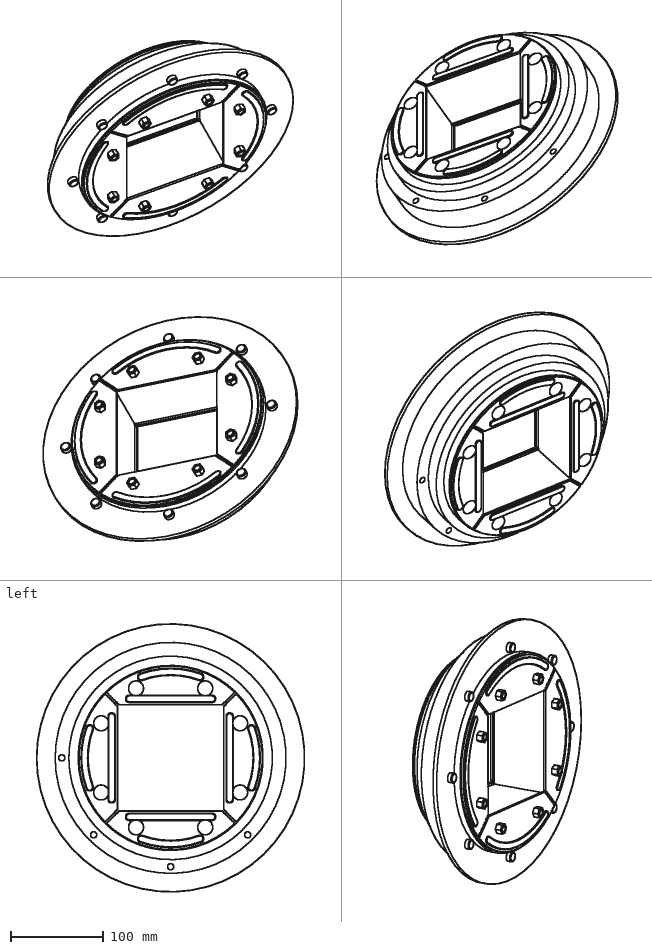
import cadquery as cq
import math


FLANGE_DIA = 290.0
SLEEVE_DIA = 249.7
SLEEVE_FRONT_X = 32.0
FLANGE_FRONT_X = 59.7
FLANGE_THICKNESS = 4.5
FLANGE_BACK_X = FLANGE_FRONT_X + FLANGE_THICKNESS

SCREW_COUNT = 8
SCREW_CIRCLE_RADIUS = 117.7
SCREW_HEAD_DIA = 10.7
SCREW_HEAD_HEIGHT = 5.2
SCREW_HEAD_CHAMFER = 1.0

SLEEVE_HOLE_DIA = 6.7
SLEEVE_HOLE_DEPTH = FLANGE_FRONT_X - SLEEVE_FRONT_X
SLEEVE_HOLE_ANGLES = (0, 225, 270, 315)

INSERT_DIA = 220.0
INSERT_NOSE_DIA = 200.0
INSERT_FRONT_X = 6.7
INSERT_STEP_X = 16.8
INSERT_BACK_X = 72.0
INSERT_OPENING = 120.0

PLATE_THICKNESS = 2.5
FRONT_PLATE_INSET = 1.0
BACK_PLATE_INSET = 2.0
PLATE_OPENING = 114.8
PLATE_GAP = 2.3
PLATE_FRONT_X = INSERT_FRONT_X - PLATE_THICKNESS
PLATE_BACK_X = INSERT_BACK_X + PLATE_THICKNESS
FRONT_PLATE_RADIUS = INSERT_NOSE_DIA / 2 - FRONT_PLATE_INSET
BACK_PLATE_RADIUS = INSERT_DIA / 2 - BACK_PLATE_INSET

BEAD_WIDTH = 7.8
BEAD_HEIGHT = 1.0
BEAD_CHAMFER = 0.72
STRAIGHT_BEAD_LENGTH = 97.5
STRAIGHT_BEAD_OFFSET = 63.8
FRONT_ARC_RADIUS = 93.0
FRONT_ARC_HALF_ANGLE = 20.0
BACK_ARC_RADIUS = 101.5
BACK_ARC_HALF_ANGLE = 35.0

BOLT_SIDE_OFFSET = 37.5
BOLT_RADIAL_OFFSET = 75.0
DOME_RADIUS = 8.0
DOME_HEIGHT = PLATE_FRONT_X
NUT_FLATS = 10.2
BOLT_DIA = 7.0
BOLT_END_X = 82.0
BOLT_TIP_LENGTH = 1.0
NUT_END_X = BOLT_END_X - BOLT_TIP_LENGTH

QUARTER_TURNS = (0, 90, 180, 270)


def at_x(x):
    """Workplane facing +X at the given X, with local axes along Y and Z."""
    return cq.Workplane("YZ", origin=(x, 0, 0))


def disc(radius, start_x, end_x):
    """Cylinder about the X axis between two X positions."""
    return at_x(start_x).circle(radius).extrude(end_x - start_x)


def spin(body, angle):
    """Turn a body about the X axis."""
    return body.rotate((0, 0, 0), (1, 0, 0), angle)


def arc_bead_outline(plane, radius, half_angle):
    """Curved slot outline, centred on +Z and concentric with the part."""
    half_width = BEAD_WIDTH / 2

    def point(r, degrees):
        angle = math.radians(degrees)
        return (r * math.sin(angle), r * math.cos(angle))

    cap_angle = half_angle + math.degrees(half_width / radius)
    outer = radius + half_width
    inner = radius - half_width
    return (
        plane.moveTo(*point(outer, -half_angle))
        .threePointArc(point(outer, 0), point(outer, half_angle))
        .threePointArc(point(radius, cap_angle), point(inner, half_angle))
        .threePointArc(point(inner, 0), point(inner, -half_angle))
        .threePointArc(point(radius, -cap_angle), point(outer, -half_angle))
        .close()
    )


def front_beads():
    """Straight and curved bead of the +Z front plate."""
    top_x = PLATE_FRONT_X - BEAD_HEIGHT
    straight = at_x(top_x).center(0, STRAIGHT_BEAD_OFFSET).slot2D(STRAIGHT_BEAD_LENGTH, BEAD_WIDTH)
    curved = arc_bead_outline(at_x(top_x), FRONT_ARC_RADIUS, FRONT_ARC_HALF_ANGLE)
    outlines = (straight, curved)
    return [outline.extrude(BEAD_HEIGHT).faces("<X").chamfer(BEAD_CHAMFER) for outline in outlines]


def back_bead():
    """Curved bead of the +Z back plate."""
    outline = arc_bead_outline(at_x(PLATE_BACK_X), BACK_ARC_RADIUS, BACK_ARC_HALF_ANGLE)
    return outline.extrude(BEAD_HEIGHT).faces(">X").chamfer(BEAD_CHAMFER)


def plate_ring(radius, start_x):
    """Disc with a square opening, split into four segments along the diagonals."""
    ring = disc(radius, start_x, start_x + PLATE_THICKNESS)
    ring = ring.cut(at_x(start_x).rect(PLATE_OPENING, PLATE_OPENING).extrude(PLATE_THICKNESS))
    gap = at_x(start_x).rect(2 * radius, PLATE_GAP).extrude(PLATE_THICKNESS)
    return ring.cut(spin(gap, 45)).cut(spin(gap, -45))


def dome_head(side):
    """Spherical cap head on the front of the +Z plate."""
    profile = (
        cq.Workplane("XY")
        .moveTo(PLATE_FRONT_X - DOME_HEIGHT, 0)
        .lineTo(PLATE_FRONT_X, 0)
        .lineTo(PLATE_FRONT_X, DOME_RADIUS)
    )
    sphere_radius = (DOME_RADIUS**2 + DOME_HEIGHT**2) / (2 * DOME_HEIGHT)
    profile = profile.radiusArc((PLATE_FRONT_X - DOME_HEIGHT, 0), -sphere_radius).close()
    head = profile.revolve(360, (0, 0, 0), (1, 0, 0))
    return head.translate((0, side * BOLT_SIDE_OFFSET, BOLT_RADIAL_OFFSET))


def nut(side):
    """Hex nut on the back of the +Z plate, corners pointing along Y, with the bolt tip standing out."""
    corner_dia = NUT_FLATS / math.cos(math.pi / 6)
    hexagon = at_x(PLATE_BACK_X).polygon(6, corner_dia).extrude(NUT_END_X - PLATE_BACK_X)
    bolt_tip = disc(BOLT_DIA / 2, NUT_END_X, BOLT_END_X)
    return hexagon.union(bolt_tip).translate((0, side * BOLT_SIDE_OFFSET, BOLT_RADIAL_OFFSET))


def make_insert():
    """Stepped round block with a square opening, clamped between plates by bolts and nuts."""
    body = disc(INSERT_NOSE_DIA / 2, INSERT_FRONT_X, INSERT_STEP_X)
    body = body.union(disc(INSERT_DIA / 2, INSERT_STEP_X, INSERT_BACK_X))
    opening_length = INSERT_BACK_X - INSERT_FRONT_X
    opening = at_x(INSERT_FRONT_X).rect(INSERT_OPENING, INSERT_OPENING).extrude(opening_length)
    body = body.cut(opening)
    body = body.union(plate_ring(FRONT_PLATE_RADIUS, PLATE_FRONT_X))
    body = body.union(plate_ring(BACK_PLATE_RADIUS, INSERT_BACK_X))

    details = [*front_beads(), back_bead()]
    for side in (-1, 1):
        details += [dome_head(side), nut(side)]
    for angle in QUARTER_TURNS:
        for detail in details:
            body = body.union(spin(detail, angle))
    return body


def screw_head():
    """Round screw head on the back of the flange, on the +Y side."""
    head = disc(SCREW_HEAD_DIA / 2, FLANGE_BACK_X, FLANGE_BACK_X + SCREW_HEAD_HEIGHT)
    return head.faces(">X").chamfer(SCREW_HEAD_CHAMFER).translate((0, SCREW_CIRCLE_RADIUS, 0))


def make_sleeve():
    """Flanged ring that fits around the insert, with screw heads behind the flange."""
    body = disc(SLEEVE_DIA / 2, SLEEVE_FRONT_X, FLANGE_FRONT_X)
    body = body.union(disc(FLANGE_DIA / 2, FLANGE_FRONT_X, FLANGE_BACK_X))
    body = body.cut(disc(INSERT_DIA / 2, SLEEVE_FRONT_X, FLANGE_BACK_X))
    for index in range(SCREW_COUNT):
        body = body.union(spin(screw_head(), index * 360 / SCREW_COUNT))

    hole = disc(SLEEVE_HOLE_DIA / 2, SLEEVE_FRONT_X, SLEEVE_FRONT_X + SLEEVE_HOLE_DEPTH)
    for angle in SLEEVE_HOLE_ANGLES:
        body = body.cut(spin(hole.translate((0, SCREW_CIRCLE_RADIUS, 0)), angle))
    return body


sleeve = make_sleeve()
insert = make_insert()
result = cq.Compound.makeCompound([sleeve.val(), insert.val()])